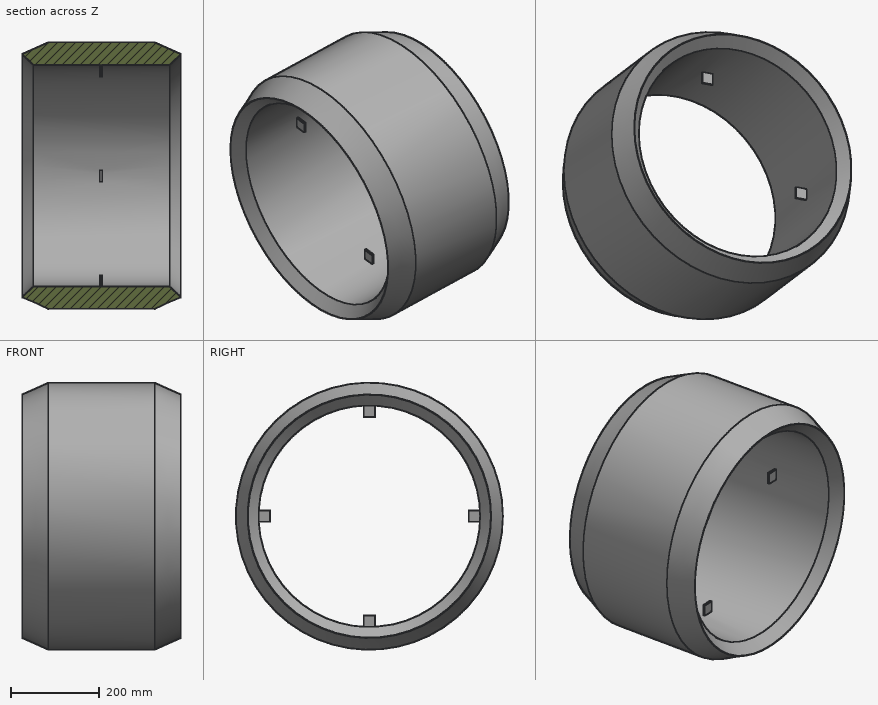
import cadquery as cq

ring_length = 358.0
outer_diameter = 604.0
bore_diameter = 500.0
rim_outer_diameter = 551.0
rim_width = 1.0
outer_taper_length = 59.0
inner_bevel_depth = 25.5

lug_count = 4
lug_size = 26.0
lug_thickness = 5.0
lug_center_x = -1.0
lug_embed = 6.0

half_length = ring_length / 2
outer_radius = outer_diameter / 2
bore_radius = bore_diameter / 2
rim_outer_radius = rim_outer_diameter / 2
rim_inner_radius = rim_outer_radius - rim_width


def make_ring():
    """Revolve the wall section, tapered outside and bevelled inside at both ends."""
    taper_start = half_length - outer_taper_length
    bevel_start = half_length - inner_bevel_depth
    section = [
        (-bevel_start, bore_radius),
        (-half_length, rim_inner_radius),
        (-half_length, rim_outer_radius),
        (-taper_start, outer_radius),
        (taper_start, outer_radius),
        (half_length, rim_outer_radius),
        (half_length, rim_inner_radius),
        (bevel_start, bore_radius),
    ]
    return cq.Workplane("XY").polyline(section).close().revolve(360, (0, 0, 0), (1, 0, 0))


def make_lug(angle):
    """One thin lug, turned about the X axis from the top of the bore."""
    height = lug_size + lug_embed
    center_z = bore_radius + lug_embed - height / 2
    lug = cq.Workplane("XY").box(lug_thickness, lug_size, height)
    return lug.translate((lug_center_x, 0, center_z)).rotate((0, 0, 0), (1, 0, 0), angle)


result = make_ring()
for index in range(lug_count):
    result = result.union(make_lug(index * 360 / lug_count))